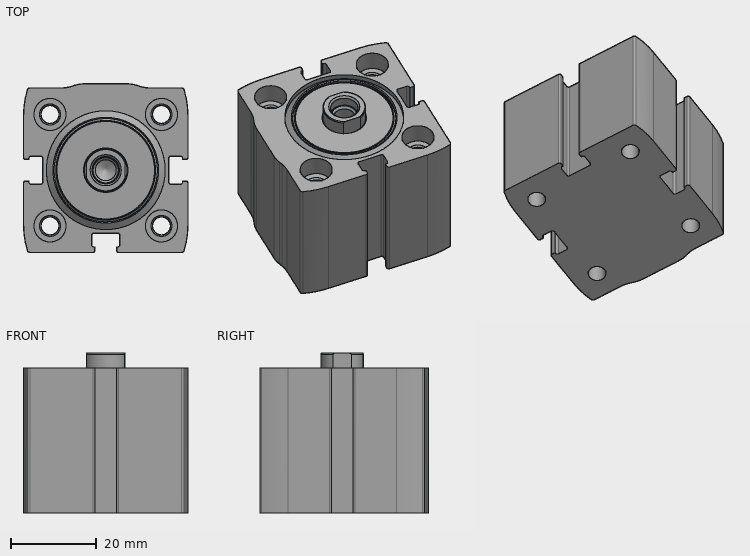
import cadquery as cq
import math

side = 38.5
half_side = side / 2
housing_height = 34.0
pad_rise = 1.0
pad_top_half_width = 6.12
pad_base_half_width = 9.15
pad_rounding = 7.5
flat_half_length = 12.7
side_curve_radius = 21.0
corner_rounding = 0.65

slot_mouth_width = 5.05
slot_inner_width = 6.5
slot_lip_thickness = 1.3
slot_depth = 4.5
slot_rounding = 0.47
slot_mouth_rounding = 0.47

hole_offset = 13.05
hole_diameter = 4.15
countersink_diameter = 4.9
counterbore_diameter = 7.5
counterbore_depth = 5.1

seat_radius = 27.8 / 2
seat_depth = 1.3
crest_radius = 12.35
cover_radius = 12.1
crest_drop = 0.2
cover_recess = 0.2
cover_shoulder_radius = 11.65
cover_shoulder_drop = 0.08
cover_face_radius = 11.4
cover_edge_drop = 0.47

rod_diameter = 10.0
rod_protrusion = 3.48
rod_insertion = 15.8
rod_flat_width = 9.0
rod_flat_depth = 1.98
rod_chamfer_height = 0.3
rod_chamfer_width = 0.15
rod_hole_mouth_diameter = 10.4
bore_mouth_diameter = 7.25
bore_diameter = 6.4
bore_depth = 2.73
ledge_inner_diameter = 5.92
drill_diameter = 4.9
drill_depth = 9.88
drill_point_half_angle = 60.0

rod_radius = rod_diameter / 2
rod_top = housing_height + rod_protrusion
rod_bottom = housing_height - rod_insertion


def revolve_profile(points):
    """Turn a closed (radius, height) outline around the Z axis."""
    return cq.Workplane("XZ").polyline(points).close().revolve(360, (0, 0, 0), (0, 1, 0))


def vertical_edges_at(body, x, y):
    """Select the vertical edges of a body that pass through (x, y)."""
    reach = 0.05
    low_corner = (x - reach, y - reach, 0)
    high_corner = (x + reach, y + reach, housing_height)
    box = cq.selectors.BoxSelector(low_corner, high_corner)
    return body.edges("|Z").edges(box)


def make_profile():
    """Extruded outline without slots or holes."""
    curve_rise = half_side - flat_half_length

    def curve_inset(distance):
        return side_curve_radius - math.sqrt(side_curve_radius**2 - distance**2)

    corner_x = half_side - curve_inset(curve_rise)
    middle_x = half_side - curve_inset(curve_rise / 2)
    middle_y = flat_half_length + curve_rise / 2
    pad_y = half_side + pad_rise
    body = (
        cq.Workplane("XY")
        .moveTo(-corner_x, -half_side)
        .lineTo(corner_x, -half_side)
        .threePointArc((middle_x, -middle_y), (half_side, -flat_half_length))
        .lineTo(half_side, flat_half_length)
        .threePointArc((middle_x, middle_y), (corner_x, half_side))
        .lineTo(pad_base_half_width, half_side)
        .lineTo(pad_top_half_width, pad_y)
        .lineTo(-pad_top_half_width, pad_y)
        .lineTo(-pad_base_half_width, half_side)
        .lineTo(-corner_x, half_side)
        .threePointArc((-middle_x, middle_y), (-half_side, flat_half_length))
        .lineTo(-half_side, -flat_half_length)
        .threePointArc((-middle_x, -middle_y), (-corner_x, -half_side))
        .close()
        .extrude(housing_height)
    )
    for sign in (-1, 1):
        for y in (-half_side, half_side):
            body = vertical_edges_at(body, sign * corner_x, y).fillet(corner_rounding)
        body = vertical_edges_at(body, sign * pad_base_half_width, half_side).fillet(pad_rounding)
        body = vertical_edges_at(body, sign * pad_top_half_width, pad_y).fillet(pad_rounding)
    return body


def make_slot_cutter():
    """T-slot opening to the -Y side, over the full height of the housing."""
    chamber_depth = slot_depth - slot_lip_thickness
    chamber_y = -half_side + slot_lip_thickness + chamber_depth / 2
    chamber = (
        cq.Workplane("XY")
        .center(0, chamber_y)
        .rect(slot_inner_width, chamber_depth)
        .extrude(housing_height)
        .edges("|Z")
        .fillet(slot_rounding)
    )
    mouth = (
        cq.Workplane("XY")
        .center(0, -half_side)
        .rect(slot_mouth_width, 2 * slot_lip_thickness)
        .extrude(housing_height)
    )
    return chamber.union(mouth)


def cut_slots(body):
    cutter = make_slot_cutter()
    for angle in (-90, 0, 90):
        body = body.cut(cutter.rotate((0, 0, 0), (0, 0, 1), angle))
    half_mouth = slot_mouth_width / 2
    for sign in (-1, 1):
        body = vertical_edges_at(body, sign * half_mouth, -half_side).fillet(slot_mouth_rounding)
        for x in (-half_side, half_side):
            body = vertical_edges_at(body, x, sign * half_mouth).fillet(slot_mouth_rounding)
    return body


def cut_mounting_holes(body):
    """Counterbored through holes with a 45 degree countersink below the counterbore."""
    floor = housing_height - counterbore_depth
    hole_radius = hole_diameter / 2
    countersink_radius = countersink_diameter / 2
    counterbore_radius = counterbore_diameter / 2
    cutter = revolve_profile([
        (0, 0),
        (hole_radius, 0),
        (hole_radius, floor - (countersink_radius - hole_radius)),
        (countersink_radius, floor),
        (counterbore_radius, floor),
        (counterbore_radius, housing_height),
        (0, housing_height),
    ])
    for x in (-hole_offset, hole_offset):
        for y in (-hole_offset, hole_offset):
            body = body.cut(cutter.translate((x, y, 0)))
    return body


def cut_cover_seat(body):
    """Seat around the end cover: outer wall, rising cone, crest and bevelled cover edge."""
    top = housing_height
    cover_top = top - cover_recess
    outer_groove = revolve_profile([
        (crest_radius, top),
        (seat_radius, top),
        (seat_radius, top - seat_depth),
    ])
    cover_recess_cutter = revolve_profile([
        (0, top),
        (crest_radius, top),
        (cover_radius, top - crest_drop),
        (cover_radius, cover_top - cover_edge_drop),
        (cover_shoulder_radius, cover_top - cover_shoulder_drop),
        (cover_face_radius, cover_top),
        (0, cover_top),
    ])
    return body.cut(outer_groove).cut(cover_recess_cutter)


def cut_rod_hole(body):
    """Blind hole that holds the rod, slightly countersunk at the cover face."""
    mouth_radius = rod_hole_mouth_diameter / 2
    cover_top = housing_height - cover_recess
    cutter = revolve_profile([
        (0, rod_bottom),
        (rod_radius, rod_bottom),
        (rod_radius, cover_top - (mouth_radius - rod_radius)),
        (mouth_radius, cover_top),
        (0, cover_top),
    ])
    return body.cut(cutter)


def make_housing():
    body = cut_slots(make_profile())
    body = cut_mounting_holes(body)
    body = cut_cover_seat(body)
    return cut_rod_hole(body)


def make_rod_bore():
    """Stepped blind bore in the rod end: countersink, bore, bevelled ledge and drill with a conical end."""
    mouth_radius = bore_mouth_diameter / 2
    bore_radius = bore_diameter / 2
    drill_radius = drill_diameter / 2
    ledge_radius = ledge_inner_diameter / 2
    bore_floor = rod_top - bore_depth
    drill_floor = rod_top - drill_depth
    return revolve_profile([
        (0, rod_top),
        (mouth_radius, rod_top),
        (bore_radius, rod_top - (mouth_radius - bore_radius)),
        (bore_radius, bore_floor),
        (ledge_radius, bore_floor),
        (drill_radius, bore_floor - (ledge_radius - drill_radius)),
        (drill_radius, drill_floor),
        (0, drill_floor - drill_radius / math.tan(math.radians(drill_point_half_angle))),
    ])


def make_rod():
    shaft = (
        cq.Workplane("XY", origin=(0, 0, rod_bottom))
        .circle(rod_radius)
        .extrude(rod_top - rod_bottom)
        .faces(">Z")
        .chamfer(rod_chamfer_height, rod_chamfer_width)
    )
    flat_x = rod_flat_width / 2
    flat_bottom = housing_height - rod_flat_depth
    flat_cutter = (
        cq.Workplane("XZ")
        .polyline([
            (flat_x, rod_top),
            (flat_x, flat_bottom),
            (rod_radius, flat_bottom - (rod_radius - flat_x)),
            (rod_radius, rod_top),
        ])
        .close()
        .extrude(rod_radius, both=True)
    )
    shaft = shaft.cut(flat_cutter).cut(flat_cutter.mirror("YZ"))
    return shaft.cut(make_rod_bore())


housing = make_housing()
rod = make_rod()
result = cq.Compound.makeCompound([housing.val(), rod.val()])